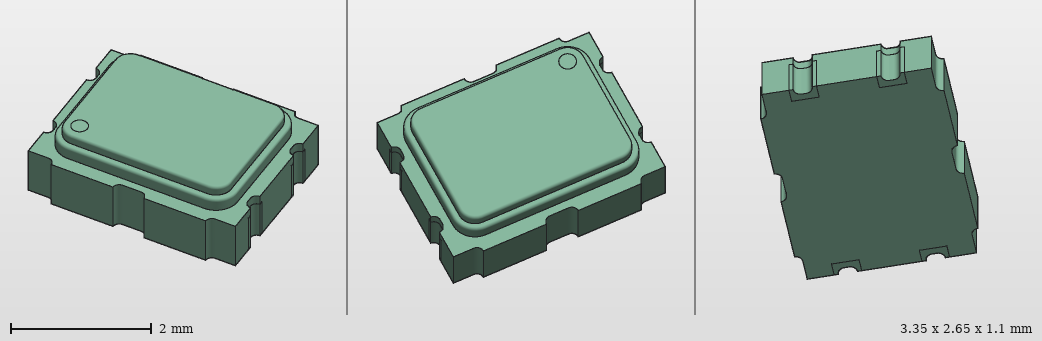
import cadquery as cq

BASE_LENGTH = 3.35
BASE_WIDTH = 2.65
TOTAL_HEIGHT = 1.1

RING_LENGTH = 2.9
RING_WIDTH = 2.2
RING_HEIGHT = 0.2
RING_CORNER_RADIUS = 0.35
LID_HEIGHT = 0.147
LID_STEP = 0.1
LID_LENGTH = RING_LENGTH - 2 * LID_STEP
LID_WIDTH = RING_WIDTH - 2 * LID_STEP
LID_CORNER_RADIUS = RING_CORNER_RADIUS - LID_STEP
EDGE_FILLET = 0.05
BASE_HEIGHT = TOTAL_HEIGHT - RING_HEIGHT - LID_HEIGHT
RING_TOP = BASE_HEIGHT + RING_HEIGHT

NOTCH_DEPTH = 0.1
MIDDLE_NOTCH_WIDTH = 0.5
CORNER_NOTCH_LENGTH = 0.425
END_NOTCH_WIDTH = 0.275
END_NOTCH_PITCH = 1.27

CONTACT_WIDTH = 0.4
CONTACT_HEIGHT = 0.6
CONTACT_DEPTH = 2 * NOTCH_DEPTH
CONTACT_PLACES = [(side, y) for side in (-1, 1) for y in (-END_NOTCH_PITCH / 2, END_NOTCH_PITCH / 2)]

MARKER_DIAMETER = 0.25
MARKER_DEPTH = 0.05
MARKER_X = -(LID_LENGTH / 2 - LID_CORNER_RADIUS)
MARKER_Y = -(LID_WIDTH / 2 - LID_CORNER_RADIUS)


def wall_notch(width, angle, wall_distance, offset):
    """Cutter for a notch in the wall at wall_distance along the direction given by angle.

    The offset shifts the notch sideways, positive to the left when facing out of the wall.
    """
    cutter = (
        cq.Workplane("XY")
        .box(2 * NOTCH_DEPTH, width, BASE_HEIGHT, centered=(True, True, False))
        .edges("|Z and <X")
        .fillet(NOTCH_DEPTH)
    )
    return cutter.translate((wall_distance, offset, 0)).rotate((0, 0, 0), (0, 0, 1), angle)


def end_notch(side, y):
    """Cutter for the notch at position y along the end wall on the given X side."""
    angle = 0 if side > 0 else 180
    return wall_notch(END_NOTCH_WIDTH, angle, BASE_LENGTH / 2, side * y)


def contact_envelope(side, y):
    """Block that a contact fills before its notch is cut."""
    block = cq.Workplane("XY").box(
        CONTACT_DEPTH, CONTACT_WIDTH, CONTACT_HEIGHT, centered=(True, True, False)
    )
    return block.translate((side * (BASE_LENGTH - CONTACT_DEPTH) / 2, y, 0))


def make_contact(side, y):
    return contact_envelope(side, y).cut(end_notch(side, y))


def make_base():
    base = cq.Workplane("XY").box(BASE_LENGTH, BASE_WIDTH, BASE_HEIGHT, centered=(True, True, False))

    for angle in (-90, 90):
        for offset in (-BASE_LENGTH / 2, BASE_LENGTH / 2):
            base = base.cut(wall_notch(2 * CORNER_NOTCH_LENGTH, angle, BASE_WIDTH / 2, offset))
        base = base.cut(wall_notch(MIDDLE_NOTCH_WIDTH, angle, BASE_WIDTH / 2, 0))

    for side, y in CONTACT_PLACES:
        base = base.cut(end_notch(side, y)).cut(contact_envelope(side, y))
    return base


def rounded_plate(length, width, height, corner_radius, bottom):
    """Plate with round corners and a filleted top edge."""
    return (
        cq.Workplane("XY")
        .workplane(offset=bottom)
        .rect(length, width)
        .extrude(height)
        .edges("|Z")
        .fillet(corner_radius)
        .faces(">Z")
        .edges()
        .fillet(EDGE_FILLET)
    )


def make_ring():
    return rounded_plate(RING_LENGTH, RING_WIDTH, RING_HEIGHT, RING_CORNER_RADIUS, BASE_HEIGHT)


def make_marker():
    return (
        cq.Workplane("XY")
        .workplane(offset=TOTAL_HEIGHT - MARKER_DEPTH)
        .center(MARKER_X, MARKER_Y)
        .circle(MARKER_DIAMETER / 2)
        .extrude(MARKER_DEPTH)
    )


def make_lid():
    """Lid with the recess that holds the marker."""
    lid = rounded_plate(LID_LENGTH, LID_WIDTH, LID_HEIGHT, LID_CORNER_RADIUS, RING_TOP)
    return lid.cut(make_marker())


base = make_base()
contacts = [make_contact(side, y) for side, y in CONTACT_PLACES]
ring = make_ring()
lid = make_lid()
marker = make_marker()

bodies = [base, *contacts, ring, lid, marker]
result = cq.Compound.makeCompound([body.solids().val() for body in bodies])